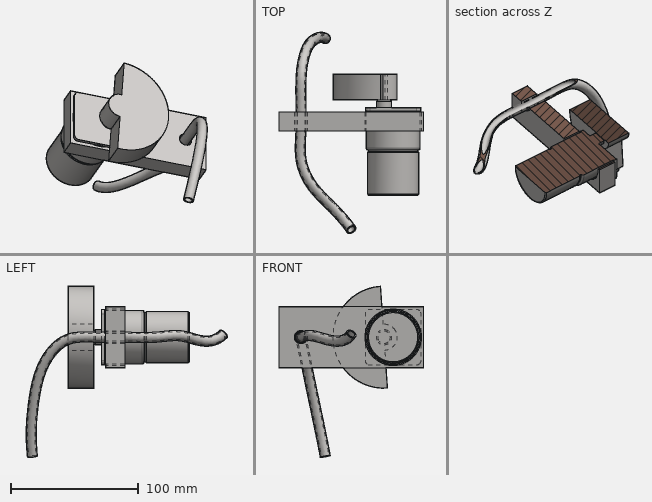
import cadquery as cq

plate_length = 113.3
plate_height = 48.0
plate_thickness = 15.1

motor_x = 32.7
motor_hole_radius = 22.0
gearbox_radius = 21.1
gearbox_front = 14.8
gearbox_edge_round = 1.4
motor_radius = 20.1
motor_front = 50.2
motor_edge_chamfer = 1.0
neck_radius = 19.4
neck_length = 1.0
flange_size = 43.5
flange_corner_radius = 3.5
flange_gap = 0.8
flange_thickness = 2.5
shaft_offset = 7.1
shaft_radius = 6.0
shaft_tip_chamfer = 1.1

weight_radius = 40.0
weight_hub_radius = 10.2
weight_thickness = 20.1
weight_gap = 9.3
weight_tilt = 3.9

hose_x = -39.3
hose_diameter = 8.0
hose_bore_diameter = 6.0
hose_hole_radius = 5.0
hose_centreline = [
    (0.0, -77.0, 2.5),
    (-5.7, -69.5, -2.2),
    (-13.2, -61.2, -3.0),
    (-31.5, -41.4, 1.3),
    (-39.0, -23.6, 0.0),
    (hose_x, 0.0, 0.0),
    (hose_x, 23.6, 0.0),
    (-39.0, 45.2, -1.9),
    (-35.9, 61.4, -17.2),
    (-29.5, 71.1, -48.5),
    (-23.0, 73.3, -79.5),
    (-20.3, 72.4, -93.2),
]

flange_front = plate_thickness + flange_gap
flange_back = flange_front + flange_thickness
weight_front = plate_thickness + weight_gap
shaft_x = motor_x - shaft_offset


def section_at(x, y):
    """Sketch plane across the Y axis, centred on (x, y, 0), extruding toward +Y."""
    return cq.Workplane(cq.Plane(origin=(x, y, 0), xDir=(1, 0, 0), normal=(0, 1, 0)))


def cylinder(x, start, end, radius):
    """Round bar along Y between two Y positions."""
    return section_at(x, start).circle(radius).extrude(end - start)


def make_plate():
    blank = section_at(0, 0).rect(plate_length, plate_height).extrude(plate_thickness)
    motor_hole = cylinder(motor_x, 0, plate_thickness, motor_hole_radius)
    hose_hole = cylinder(hose_x, 0, plate_thickness, hose_hole_radius)
    return blank.cut(motor_hole).cut(hose_hole)


def make_motor():
    gearbox = cylinder(motor_x, -gearbox_front, flange_front, gearbox_radius)
    gearbox = gearbox.faces("<Y").edges().fillet(gearbox_edge_round)

    neck = cylinder(motor_x, -gearbox_front - neck_length, -gearbox_front, neck_radius)
    can = cylinder(motor_x, -motor_front, -gearbox_front - neck_length, motor_radius)
    can = can.edges().chamfer(motor_edge_chamfer)

    flange = section_at(motor_x, flange_front).rect(flange_size, flange_size).extrude(flange_thickness)
    flange = flange.edges("|Y").fillet(flange_corner_radius)

    shaft = cylinder(shaft_x, flange_back, weight_front, shaft_radius)
    shaft = shaft.faces(">Y").edges().chamfer(shaft_tip_chamfer)
    return gearbox.union(neck).union(can).union(flange).union(shaft)


def make_weight():
    half_disc = (
        cq.Workplane("XZ", origin=(shaft_x, weight_front, 0))
        .moveTo(0, weight_radius)
        .threePointArc((-weight_radius, 0), (0, -weight_radius))
        .close()
        .extrude(-weight_thickness)
        .rotate((shaft_x, 0, 0), (shaft_x, 1, 0), -weight_tilt)
    )
    hub = cylinder(shaft_x, weight_front, weight_front + weight_thickness, weight_hub_radius)
    return half_disc.union(hub)


def make_hose():
    path = cq.Workplane().spline(hose_centreline)
    centreline = path.val()
    end_plane = cq.Plane(origin=centreline.startPoint(), normal=centreline.tangentAt(0))
    ring = cq.Workplane(end_plane).circle(hose_diameter / 2).circle(hose_bore_diameter / 2)
    return ring.sweep(path, clean=False)


plate = make_plate()
motor = make_motor()
weight = make_weight()
hose = make_hose()

result = cq.Compound.makeCompound([plate.val(), motor.val(), weight.val(), hose.val()])